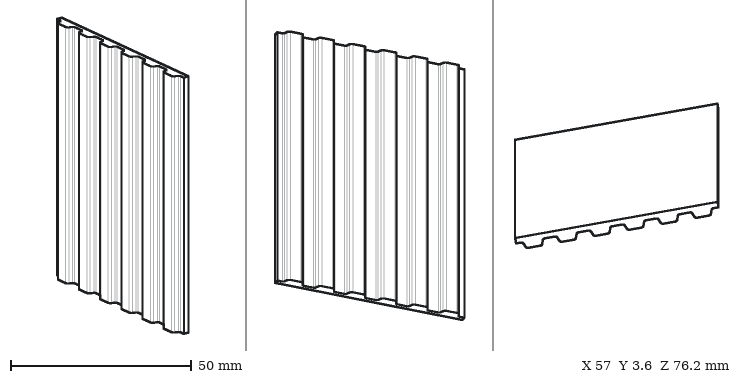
import cadquery as cq
import math

belt_length = 76.2
tooth_count = 6
tooth_pitch = 9.5
belt_thickness = 3.6
tooth_height = 1.9
tooth_root_width = 5.8
flank_angle = 20.0
root_radius = 0.5
tip_radius = 0.85

belt_width = tooth_count * tooth_pitch
backing_thickness = belt_thickness - tooth_height
flank_run = tooth_height * math.tan(math.radians(flank_angle))
tooth_tip_width = tooth_root_width - 2 * flank_run
root_y = tooth_height
tip_y = 0.0


def tooth_centre(index):
    return (index + 0.5) * tooth_pitch


def make_backing():
    return cq.Workplane("XY").box(
        belt_width, backing_thickness, belt_length, centered=False
    ).translate((0, root_y, 0))


def make_tooth(centre_x):
    outline = [
        (centre_x - tooth_root_width / 2, root_y),
        (centre_x - tooth_tip_width / 2, tip_y),
        (centre_x + tooth_tip_width / 2, tip_y),
        (centre_x + tooth_root_width / 2, root_y),
    ]
    return cq.Workplane("XY").polyline(outline).close().extrude(belt_length)


def edge_near(x, y):
    """Selector for the lengthwise edge through (x, y)."""
    return cq.selectors.NearestToPointSelector((x, y, belt_length / 2))


belt = make_backing()
for index in range(tooth_count):
    belt = belt.union(make_tooth(tooth_centre(index)))

for index in range(tooth_count):
    for side in (-1, 1):
        root_x = tooth_centre(index) + side * tooth_root_width / 2
        tip_x = tooth_centre(index) + side * tooth_tip_width / 2
        belt = belt.edges(edge_near(root_x, root_y)).fillet(root_radius)
        belt = belt.edges(edge_near(tip_x, tip_y)).fillet(tip_radius)

result = belt